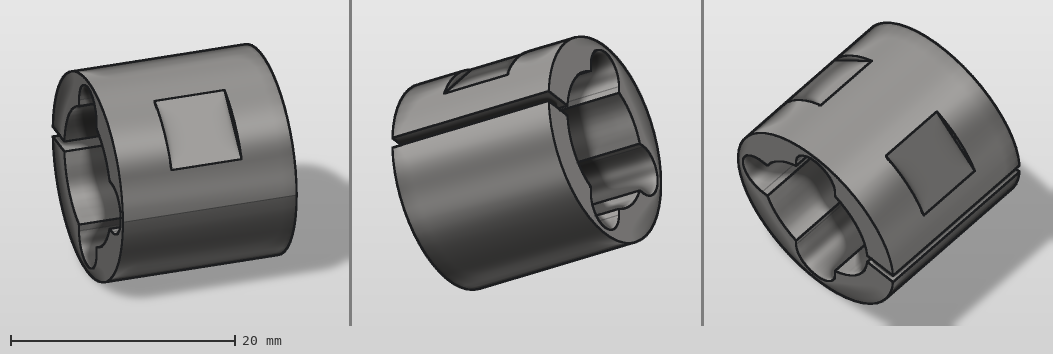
import cadquery as cq

outer_radius = 9.52
bore_radius = 6.36
length = 16.4

groove_radius = 2.38
groove_reach = 8.92
groove_angles = (0, 90, -90)

slit_width = 1.0

flat_distance = 8.93
flat_length = 6.61
flat_angles = (45, 135)



def turned(shape, angle):
    """Turn a shape about the ring axis from +X towards +Z."""
    return shape.rotate((0, 0, 0), (0, 1, 0), -angle)


def cylinder_along_y(radius):
    return cq.Workplane("XZ").circle(radius).extrude(length / 2, both=True)


def groove_cutter():
    """A straight-sided groove running out from the axis along +X to a round end."""
    centre_distance = groove_reach - groove_radius
    round_end = cylinder_along_y(groove_radius).translate((centre_distance, 0, 0))
    sides = cq.Workplane("XY").box(
        centre_distance, length, 2 * groove_radius, centered=(False, True, True)
    )
    return sides.union(round_end)


def flat_cutter():
    """A block whose inner face leaves a flat on the +X side."""
    block = cq.Workplane("XY").box(
        outer_radius, flat_length, 2 * outer_radius, centered=(False, True, True)
    )
    return block.translate((flat_distance, 0, 0))


def slit_cutter():
    """A slab from the axis out past the +X side of the ring."""
    return cq.Workplane("XY").box(
        2 * outer_radius, length, slit_width, centered=(False, True, True)
    )


result = cylinder_along_y(outer_radius).cut(cylinder_along_y(bore_radius))

for groove_angle in groove_angles:
    result = result.cut(turned(groove_cutter(), groove_angle))

for flat_angle in flat_angles:
    result = result.cut(turned(flat_cutter(), flat_angle))

result = result.cut(turned(slit_cutter(), 180))